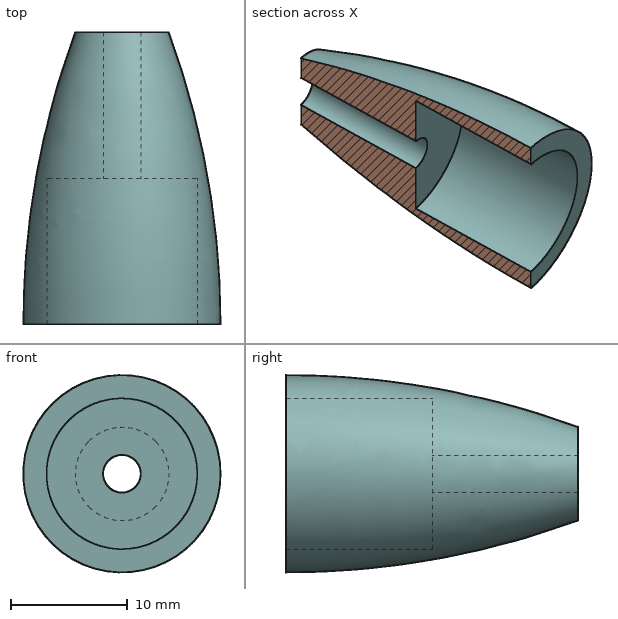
import cadquery as cq

length = 25.0
base_diameter = 16.9
tip_diameter = 8.0
bore_diameter = 12.9
bore_depth = length / 2
through_hole_diameter = 3.2

base_radius = base_diameter / 2
tip_radius = tip_diameter / 2

radius_drop = base_radius - tip_radius
side_arc_radius = (length**2 + radius_drop**2) / (2 * radius_drop)


def side_radius(distance_from_base):
    """Outer radius of the body at a distance along the axis."""
    arc_height = (side_arc_radius**2 - distance_from_base**2) ** 0.5
    return base_radius - side_arc_radius + arc_height


def make_body():
    """Solid bullet shape, wide end at Y = 0 and narrow end at Y = length."""
    middle = length / 2
    return (
        cq.Workplane("XY")
        .moveTo(0, 0)
        .lineTo(base_radius, 0)
        .threePointArc((side_radius(middle), middle), (tip_radius, length))
        .lineTo(0, length)
        .close()
        .revolve(360, (0, 0, 0), (0, 1, 0))
    )


def make_cylinder(diameter, depth):
    """Cylinder on the axis, starting at the base and running towards +Y."""
    return cq.Workplane("XZ").circle(diameter / 2).extrude(-depth)


bore = make_cylinder(bore_diameter, bore_depth)
through_hole = make_cylinder(through_hole_diameter, length)

result = make_body().cut(bore).cut(through_hole)